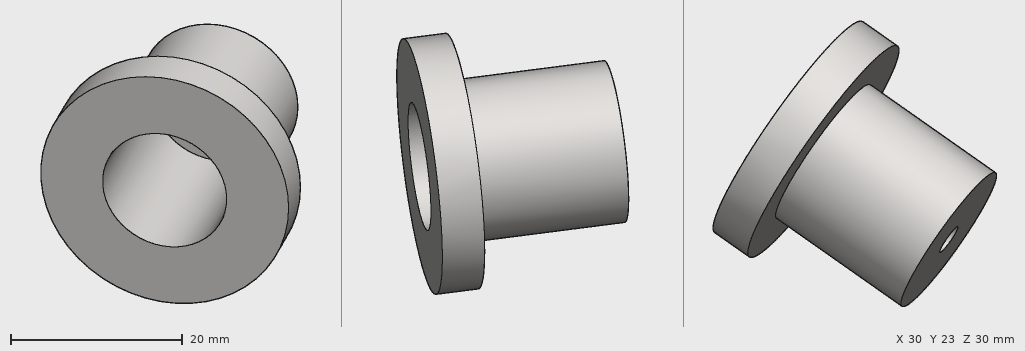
import cadquery as cq

flange_diameter = 30.0
flange_thickness = 5.0
total_length = 23.0
barrel_diameter = 19.0
bore_diameter = 15.0
end_hole_diameter = 3.6

end_wall = (barrel_diameter - bore_diameter) / 2
bore_depth = total_length - end_wall


def cylinder(diameter, length):
    """Solid cylinder from the flange face toward +Y."""
    return cq.Workplane("XZ").circle(diameter / 2).extrude(-length)


flange = cylinder(flange_diameter, flange_thickness)
barrel = cylinder(barrel_diameter, total_length)
bore = cylinder(bore_diameter, bore_depth)
end_hole = cylinder(end_hole_diameter, total_length)

result = flange.union(barrel).cut(bore).cut(end_hole)